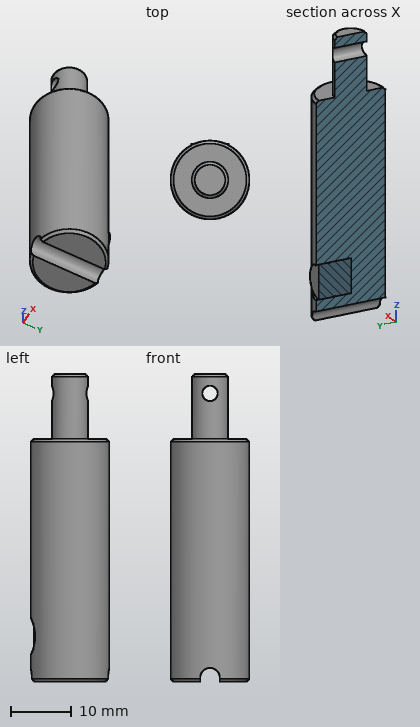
import cadquery as cq

BODY_DIAMETER = 13.0
BODY_RADIUS = BODY_DIAMETER / 2
BODY_HEIGHT = 40.0
ROD_DIAMETER = 6.0
ROD_RADIUS = ROD_DIAMETER / 2
ROD_LENGTH = 10.7
EDGE_CHAMFER = 0.5

CROSS_HOLE_DIAMETER = 2.5
CROSS_HOLE_FROM_TIP = 3.2
CROSS_HOLE_Z = BODY_HEIGHT + ROD_LENGTH - CROSS_HOLE_FROM_TIP

SLOT_WIDTH = 3.2
SLOT_HEIGHT = 2.3

PLUG_DIAMETER = 6.2
PLUG_Z = 7.5
PLUG_FACE_Y = 6.0


def cylinder_along_y(diameter, z, y_start, y_end):
    """Cylinder parallel to Y on X = 0, reaching from y_start to y_end."""
    return (
        cq.Workplane("XZ", origin=(0, y_start, z))
        .circle(diameter / 2)
        .extrude(y_start - y_end)
    )


def make_bottom_slot():
    """Cutter for the slot: straight sides closed by a half-round top."""
    half_width = SLOT_WIDTH / 2
    spring_line = SLOT_HEIGHT - half_width
    return (
        cq.Workplane("XZ")
        .moveTo(-half_width, 0)
        .lineTo(-half_width, spring_line)
        .threePointArc((0, SLOT_HEIGHT), (half_width, spring_line))
        .lineTo(half_width, 0)
        .close()
        .extrude(BODY_RADIUS, both=True)
    )


def make_pin():
    body = cq.Workplane("XY").circle(BODY_RADIUS).extrude(BODY_HEIGHT)
    body = body.faces("<Z or >Z").chamfer(EDGE_CHAMFER)
    rod = cq.Workplane("XY", origin=(0, 0, BODY_HEIGHT)).circle(ROD_RADIUS).extrude(ROD_LENGTH)
    rod = rod.faces(">Z").chamfer(EDGE_CHAMFER)

    cross_hole = cylinder_along_y(CROSS_HOLE_DIAMETER, CROSS_HOLE_Z, -ROD_RADIUS, ROD_RADIUS)
    plug_hole = cylinder_along_y(PLUG_DIAMETER, PLUG_Z, 0, BODY_RADIUS)
    return body.union(rod).cut(cross_hole).cut(make_bottom_slot()).cut(plug_hole)


def make_plug():
    return cylinder_along_y(PLUG_DIAMETER, PLUG_Z, 0, PLUG_FACE_Y)


pin = make_pin()
plug = make_plug()

result = cq.Compound.makeCompound([pin.val(), plug.val()])